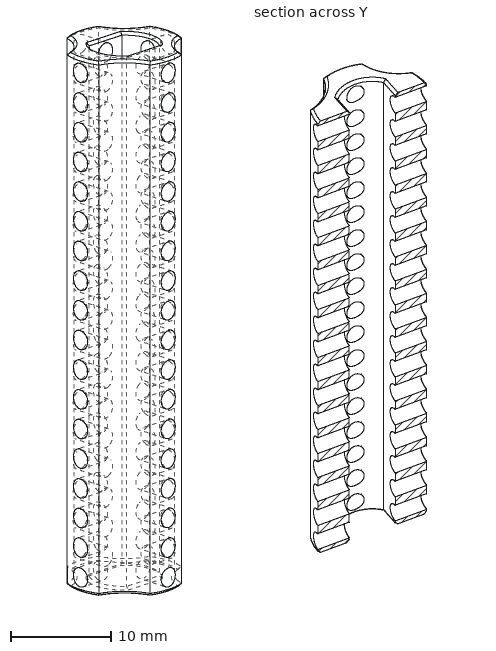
import cadquery as cq
import math

outer_diameter = 12.5
hole_pitch = 3.125
holes_per_row = 18
length = holes_per_row * hole_pitch

flute_radius = 5.0
flute_axis_distance = 10.0

bore_diameter = 7.0
bore_flat_width = 5.25

hole_diameter = 2.0
end_chamfer = 0.3

outer_radius = outer_diameter / 2
flute_bottom_distance = flute_axis_distance - flute_radius

flute_half_angle = math.degrees(
    math.acos(
        (outer_radius**2 + flute_axis_distance**2 - flute_radius**2)
        / (2 * outer_radius * flute_axis_distance)
    )
)
lobe_pitch_angle = 90
lobe_half_angle = lobe_pitch_angle / 2 - flute_half_angle


def rotated(point, angle_degrees):
    """Turn a 2D point about the tube axis."""
    angle = math.radians(angle_degrees)
    x, y = point
    return (
        x * math.cos(angle) - y * math.sin(angle),
        x * math.sin(angle) + y * math.cos(angle),
    )


def make_body():
    """Fluted bar: each quarter is one lobe arc followed by one flute arc."""
    lobe_middle = (outer_radius, 0)
    lobe_start = rotated(lobe_middle, -lobe_half_angle)
    lobe_end = rotated(lobe_middle, lobe_half_angle)
    flute_middle = rotated((flute_bottom_distance, 0), lobe_pitch_angle / 2)

    outline = cq.Workplane("XY").moveTo(*lobe_start)
    for quarter in range(4):
        angle = lobe_pitch_angle * quarter
        next_lobe_start = rotated(lobe_start, angle + lobe_pitch_angle)
        outline = outline.threePointArc(rotated(lobe_middle, angle), rotated(lobe_end, angle))
        outline = outline.threePointArc(rotated(flute_middle, angle), next_lobe_start)
    return outline.close().extrude(length)


def make_bore():
    """Round through bore with two flats facing along X."""
    cylinder = cq.Workplane("XY").circle(bore_diameter / 2).extrude(length)
    flats = cq.Workplane("XY").rect(bore_flat_width, bore_diameter).extrude(length)
    return cylinder.intersect(flats)


def make_cross_holes(plane):
    """Row of holes passing straight through two opposite lobes."""
    centres = [(0, (index + 0.5) * hole_pitch) for index in range(holes_per_row)]
    row = cq.Workplane(plane).pushPoints(centres)
    return row.circle(hole_diameter / 2).extrude(outer_radius, both=True)


result = make_body().cut(make_bore())
result = result.faces("<Z or >Z").edges().chamfer(end_chamfer)
for hole_plane in ("XZ", "YZ"):
    result = result.cut(make_cross_holes(hole_plane))